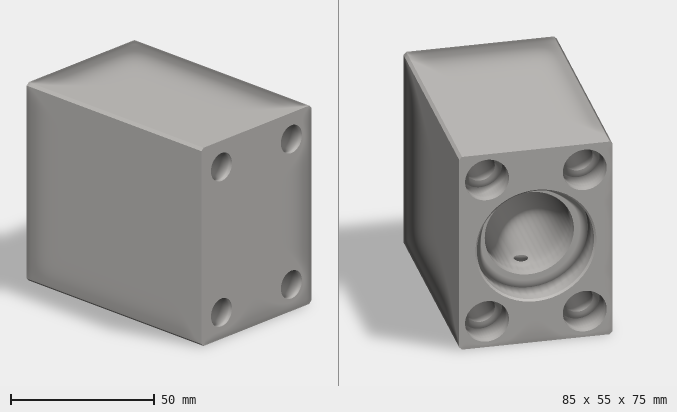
import cadquery as cq

length = 85.0
width = 55.0
height = 75.0
edge_chamfer = 1.0

bore_diameter = 32.0
bore_depth = 68.0
recess_diameter = 42.0
recess_depth = 10.0
recess_chamfer = 0.7

hole_spacing_y = 35.0
hole_spacing_z = 55.0
hole_diameter = 10.5
counterbore_diameter = 15.7
counterbore_depth = 10.5

port_diameter = 5.0
port_position = 22.95


def make_block():
    """Block centred on Y and Z, starting at X = 0, with its long edges chamfered."""
    block = cq.Workplane("XY").box(length, width, height, centered=(False, True, True))
    return block.edges("|X").chamfer(edge_chamfer)


def cut_bore(body):
    """Cut the blind bore, its wider entry recess and the recess's chamfered rim."""
    largest_circle = cq.selectors.RadiusNthSelector(-1)
    body = (
        body.faces("<X")
        .workplane(origin=(0, 0, 0))
        .cboreHole(bore_diameter, recess_diameter, recess_depth, bore_depth)
    )
    return body.faces("<X").edges(largest_circle).chamfer(recess_chamfer)


def cut_screw_holes(body):
    """Cut the four counterbored holes through the full length."""
    return (
        body.faces("<X")
        .workplane(origin=(0, 0, 0))
        .rarray(hole_spacing_y, hole_spacing_z, 2, 2)
        .cboreHole(hole_diameter, counterbore_diameter, counterbore_depth)
    )


def cut_port(body):
    """Drill the port up from the bottom face to the bore axis."""
    port = cq.Workplane("XY", origin=(port_position, 0, -height / 2)).circle(port_diameter / 2)
    return body.cut(port.extrude(height / 2))


result = cut_port(cut_screw_holes(cut_bore(make_block())))